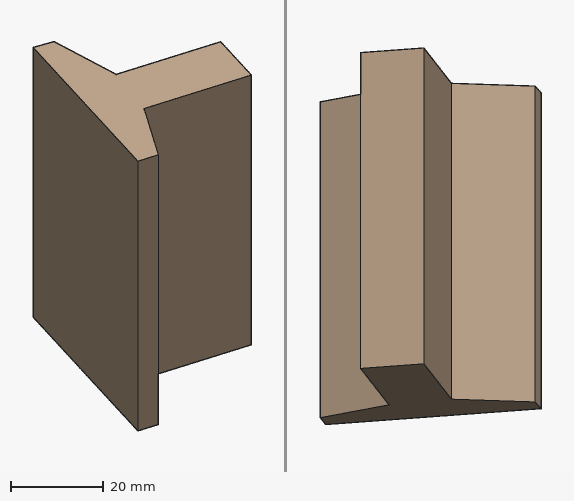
import cadquery as cq

height = 72.0
flange_width = 48.1
depth = 36.9

edge_thickness = 5.05
left_root = 11.15
right_root = 10.45

left_edge_lean = 0.2

web_left = 17.35
web_thickness = 14.1
web_right = web_left + web_thickness

profile = [
    (0, 0),
    (flange_width, 0),
    (flange_width, edge_thickness),
    (web_right, right_root),
    (web_right, depth),
    (web_left, depth),
    (web_left, left_root),
    (left_edge_lean, edge_thickness),
]

result = cq.Workplane("XY").polyline(profile).close().extrude(height)